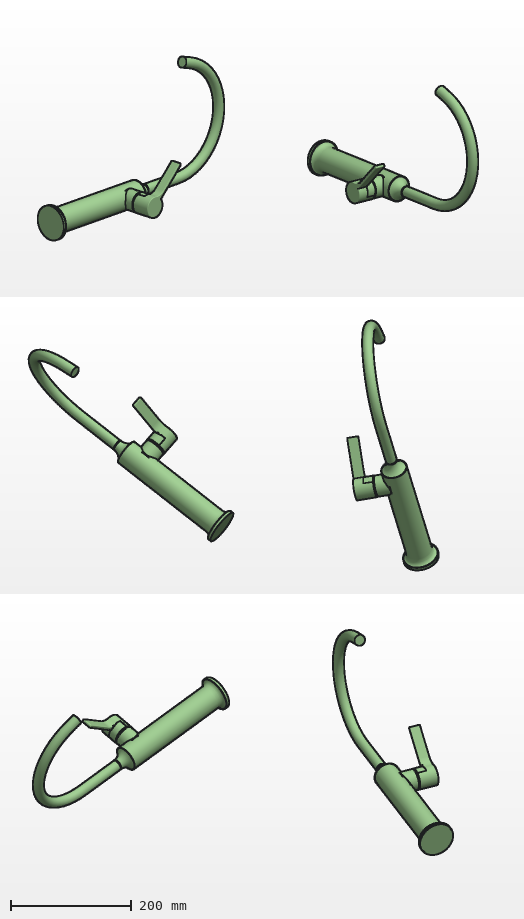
import cadquery as cq
import math


foot_diameter = 60.0
foot_rim_height = 5.9
foot_sweep_top_y = 17.9
foot_cove_top_y = 11.6
foot_sweep_radius = 20.0
foot_cove_radius = 9.0

housing_diameter = 44.1
shoulder_y = 206.3
flare_end_y = 225.0
flare_radius = 21.0

boss_seat_x = 12.0
boss_y = 174.8
boss_diameter = 36.1
boss_end_x = 37.2
boss_neck_diameter = 31.5

spout_diameter = 19.0
spout_neck_diameter = 18.1
spout_neck_length = 1.2
bend_radius = 100.0
bend_sweep = 162.0
outlet_length = 19.8
spout_reach_y = 413.67

handle_diameter = 37.0
handle_start_x = 39.1
handle_end_x = 72.86
lever_width = 18.9
lever_thickness = 5.8
lever_length = 86.9
lever_angle = 45.0
lever_blend_radius = 20.0
handle_edge_radius = 1.2
lever_tip_radius = 1.8
recess_depth = 0.15
recess_half_angle = 67.0

housing_radius = housing_diameter / 2
spout_radius = spout_diameter / 2
handle_radius = handle_diameter / 2
half_thickness = lever_thickness / 2
lever_start_x = handle_end_x - lever_width
bend_start_y = spout_reach_y - spout_radius - bend_radius


def flare_point(angle):
    """Point on the housing's concave flare, at an angle measured from its end at the spout."""
    return (
        spout_radius + flare_radius * (1 - math.cos(angle)),
        flare_end_y - flare_radius * math.sin(angle),
    )


def make_housing():
    """Turned body: foot flange with a cove, barrel and a concave flare up to the spout."""
    rim_radius = foot_diameter / 2
    sweep_end = math.asin((foot_sweep_top_y - foot_cove_top_y) / foot_sweep_radius)
    cove_centre_r = housing_radius + foot_sweep_radius
    cove_centre_r -= (foot_sweep_radius - foot_cove_radius) * math.cos(sweep_end)
    cove_centre_y = foot_cove_top_y + foot_cove_radius * math.sin(sweep_end)
    cove_end = math.asin((cove_centre_y - foot_rim_height) / foot_cove_radius)

    def sweep_point(angle):
        return (
            housing_radius + foot_sweep_radius * (1 - math.cos(angle)),
            foot_sweep_top_y - foot_sweep_radius * math.sin(angle),
        )

    def cove_point(angle):
        return (
            cove_centre_r - foot_cove_radius * math.cos(angle),
            cove_centre_y - foot_cove_radius * math.sin(angle),
        )

    flare_sweep = math.asin((flare_end_y - shoulder_y) / flare_radius)
    barrel = (
        cq.Workplane("XY")
        .lineTo(rim_radius, 0)
        .lineTo(rim_radius, foot_rim_height)
        .lineTo(*cove_point(cove_end))
        .threePointArc(cove_point((cove_end + sweep_end) / 2), cove_point(sweep_end))
        .threePointArc(sweep_point(sweep_end / 2), sweep_point(0))
        .lineTo(housing_radius, shoulder_y)
        .lineTo(*flare_point(flare_sweep))
        .threePointArc(flare_point(flare_sweep / 2), flare_point(0))
        .lineTo(0, flare_end_y)
        .close()
        .revolve(360, (0, 0, 0), (0, 1, 0))
    )
    seat = boss_plane(boss_seat_x).circle(boss_diameter / 2).extrude(housing_radius)
    return barrel.cut(seat)


def boss_plane(x):
    """Workplane square to the side boss's axis at the given X."""
    return cq.Workplane("YZ", origin=(x, boss_y, 0))


def make_boss():
    """Side boss seated in the housing, with a narrower neck that meets the handle."""
    boss = boss_plane(boss_seat_x).circle(boss_diameter / 2).extrude(boss_end_x - boss_seat_x)
    neck = boss_plane(boss_end_x).circle(boss_neck_diameter / 2).extrude(handle_start_x - boss_end_x)
    return boss.union(neck)


def make_spout():
    """Round tube: a narrow neck, a straight run, a wide bend and a short straight outlet."""
    tube_start_y = flare_end_y + spout_neck_length
    neck = (
        cq.Workplane("XZ", origin=(0, flare_end_y, 0))
        .circle(spout_neck_diameter / 2)
        .extrude(-spout_neck_length)
    )

    def bend_point(degrees):
        angle = math.radians(degrees)
        return (
            bend_start_y + bend_radius * math.sin(angle),
            bend_radius * (1 - math.cos(angle)),
        )

    sweep = math.radians(bend_sweep)
    bend_end = bend_point(bend_sweep)
    outlet_end = (
        bend_end[0] + outlet_length * math.cos(sweep),
        bend_end[1] + outlet_length * math.sin(sweep),
    )
    path = (
        cq.Workplane("YZ")
        .moveTo(tube_start_y, 0)
        .lineTo(bend_start_y, 0)
        .threePointArc(bend_point(bend_sweep / 2), bend_end)
        .lineTo(*outlet_end)
    )
    tube = cq.Workplane("XZ", origin=(0, tube_start_y, 0)).circle(spout_radius).sweep(path)
    return neck.union(tube)


def make_handle():
    """Barrel with a flat lever blended on its upper side, built with the lever along Y, then tilted."""
    side = cq.Workplane("YZ")
    barrel_plane = side.workplane(offset=handle_start_x)
    barrel = barrel_plane.circle(handle_radius).extrude(handle_end_x - handle_start_x)

    recess_reach = 2 * handle_radius
    recess_corner = (
        recess_reach * math.cos(math.radians(recess_half_angle)),
        recess_reach * math.sin(math.radians(recess_half_angle)),
    )
    recess_length = lever_start_x + handle_edge_radius - handle_start_x
    recess_sector = (
        barrel_plane.moveTo(0, 0)
        .lineTo(recess_corner[0], -recess_corner[1])
        .lineTo(recess_reach, -recess_corner[1])
        .lineTo(recess_reach, recess_corner[1])
        .lineTo(*recess_corner)
        .close()
        .extrude(recess_length)
    )
    recess_core = barrel_plane.circle(handle_radius - recess_depth).extrude(recess_length)
    barrel = barrel.cut(recess_sector.cut(recess_core))

    blend_z = half_thickness + lever_blend_radius
    blend_y = math.sqrt((handle_radius + lever_blend_radius) ** 2 - blend_z**2)
    barrel_touch = math.atan2(blend_z, blend_y)
    blend_mid = (3 * math.pi / 2 + math.pi + barrel_touch) / 2
    lever = (
        side.workplane(offset=lever_start_x)
        .moveTo(0, -half_thickness)
        .lineTo(lever_length, -half_thickness)
        .lineTo(lever_length, half_thickness)
        .lineTo(blend_y, half_thickness)
        .threePointArc(
            (
                blend_y + lever_blend_radius * math.cos(blend_mid),
                blend_z + lever_blend_radius * math.sin(blend_mid),
            ),
            (handle_radius * math.cos(barrel_touch), handle_radius * math.sin(barrel_touch)),
        )
        .lineTo(0, 0)
        .close()
        .extrude(lever_width)
    )
    lever = lever.faces(">Y").edges("|X").fillet(lever_tip_radius)
    outer_edges = cq.selectors.BoxSelector(
        (lever_start_x - handle_edge_radius, blend_y / 2, -handle_radius),
        (lever_start_x + handle_edge_radius, 2 * lever_length, handle_radius),
    )
    lever = lever.edges("<X").edges(outer_edges).fillet(handle_edge_radius)
    handle = barrel.union(lever)
    handle = handle.faces(">X").edges().fillet(handle_edge_radius)
    return handle.rotate((0, 0, 0), (1, 0, 0), lever_angle).translate((0, boss_y, 0))


housing = make_housing()
boss = make_boss()
spout = make_spout()
handle = make_handle()

result = cq.Compound.makeCompound([housing.val(), boss.val(), spout.val(), handle.val()])